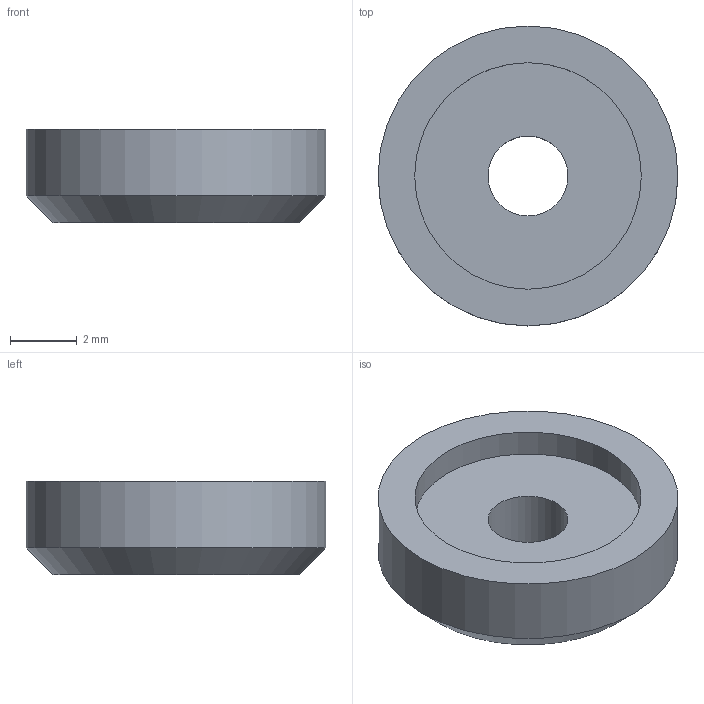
import cadquery as cq

outer_diameter = 9.0
height = 2.8
bottom_chamfer = 0.8
recess_diameter = 6.8
recess_depth = 0.8
bore_diameter = 2.4


def make_body():
    """Round disc standing on Z = 0 with a 45 degree chamfer on its lower rim."""
    disc = cq.Workplane("XY").circle(outer_diameter / 2).extrude(height)
    return disc.faces("<Z").edges().chamfer(bottom_chamfer)


def cut_recess(body):
    """Shallow flat-bottomed recess in the top face."""
    recess = (
        cq.Workplane("XY")
        .workplane(offset=height - recess_depth)
        .circle(recess_diameter / 2)
        .extrude(recess_depth)
    )
    return body.cut(recess)


def cut_bore(body):
    """Central bore through the full height."""
    bore = cq.Workplane("XY").circle(bore_diameter / 2).extrude(height)
    return body.cut(bore)


result = cut_bore(cut_recess(make_body()))